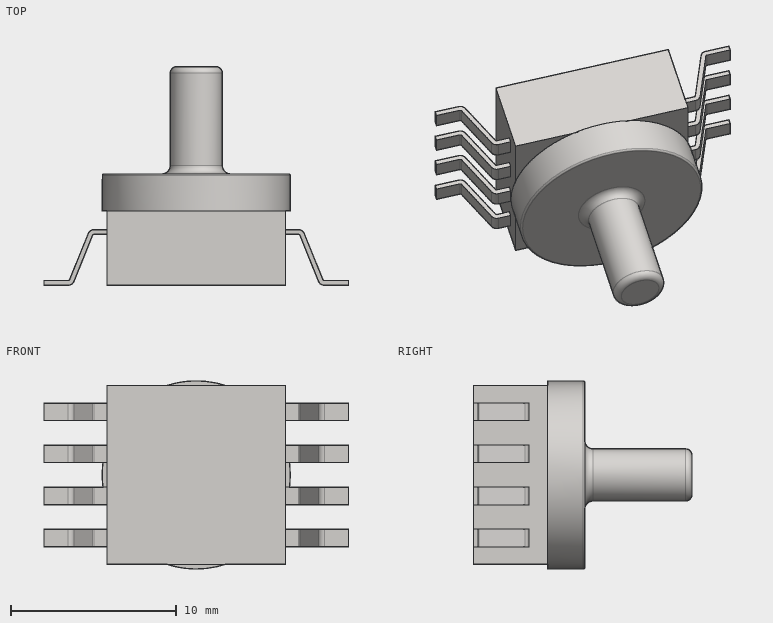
import cadquery as cq
import math

span_x = 18.41
total_depth = 13.22

block_side = 10.8
block_depth = 4.5
cap_diameter = 11.38
cap_depth = 2.25
cap_edge_radius = 0.11
tube_diameter = 3.17
tube_root_radius = 0.5
tube_tip_radius = 0.4

leads_per_side = 4
lead_pitch = 2.54
lead_width = 1.07
lead_thickness = 0.3
lead_top = 3.37
foot_length = 1.53
leg_angle = 68
bend_inner_radius = 0.1
bend_outer_radius = bend_inner_radius + lead_thickness

cap_rear = block_depth + cap_depth


def y_cylinder(diameter, start, length):
    """Cylinder on the Y axis that runs from y = start towards +Y."""
    return cq.Workplane("XZ", origin=(0, start, 0)).circle(diameter / 2).extrude(-length)


def make_housing():
    """Block with its mounting face on y = 0, carrying the cap and the port tube."""
    block = cq.Workplane("XY").box(
        block_side, block_depth, block_side, centered=(True, False, True)
    )
    cap = y_cylinder(cap_diameter, block_depth, cap_depth).faces(">Y").edges().fillet(cap_edge_radius)
    tube = y_cylinder(tube_diameter, cap_rear, total_depth - cap_rear)
    tube = tube.faces(">Y").edges().fillet(tube_tip_radius)
    housing = block.union(cap).union(tube)
    tube_root = cq.selectors.BoxSelector(
        (-tube_diameter, cap_rear - cap_edge_radius / 2, -tube_diameter),
        (tube_diameter, cap_rear + cap_edge_radius / 2, tube_diameter),
    )
    return housing.edges(tube_root).fillet(tube_root_radius)


def make_lead(center_z):
    """Lead on the +X side: shoulder at the block, sloping leg, flat foot on y = 0."""
    side_x = block_side / 2
    tip_x = span_x / 2
    shoulder_front = lead_top - lead_thickness

    slope = math.radians(leg_angle)
    foot_corner_x = tip_x - foot_length
    shoulder_corner_x = foot_corner_x - shoulder_front / math.tan(slope)
    inward_shift = lead_thickness * math.tan(slope / 2)

    lead = (
        cq.Workplane("XY", origin=(0, 0, center_z))
        .moveTo(side_x, lead_top)
        .lineTo(shoulder_corner_x, lead_top)
        .lineTo(foot_corner_x, lead_thickness)
        .lineTo(tip_x, lead_thickness)
        .lineTo(tip_x, 0)
        .lineTo(foot_corner_x - inward_shift, 0)
        .lineTo(shoulder_corner_x - inward_shift, shoulder_front)
        .lineTo(side_x, shoulder_front)
        .close()
        .extrude(lead_width / 2, both=True)
    )

    def bend_edge(x, y):
        return cq.selectors.NearestToPointSelector((x, y, center_z))

    lead = lead.edges("|Z").edges(bend_edge(shoulder_corner_x, lead_top)).fillet(bend_outer_radius)
    lead = lead.edges("|Z").edges(bend_edge(foot_corner_x - inward_shift, 0)).fillet(bend_outer_radius)
    lead = lead.edges("|Z").edges(bend_edge(foot_corner_x, lead_thickness)).fillet(bend_inner_radius)
    return (
        lead.edges("|Z")
        .edges(bend_edge(shoulder_corner_x - inward_shift, shoulder_front))
        .fillet(bend_inner_radius)
    )


housing = make_housing()

leads = []
for index in range(leads_per_side):
    center_z = (index - (leads_per_side - 1) / 2) * lead_pitch
    right_lead = make_lead(center_z)
    leads.append(right_lead.val())
    leads.append(right_lead.mirror("YZ").val())

result = cq.Compound.makeCompound([housing.val(), *leads])